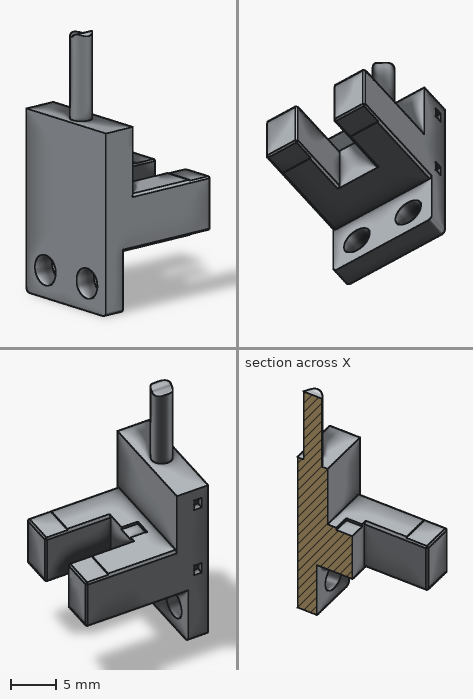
import cadquery as cq

body_width = 13.4
body_height = 21.22
plate_thickness = 2.55
upper_thickness = 4.0
corner_radius = 0.55
half_width = body_width / 2
full_width = (-half_width, half_width)

total_depth = 15.55
arm_width = 4.2
gap_floor_y = 7.25
fork_bottom_z = 7.02
fork_top_z = 13.42
fork_chamfer = 0.295

tip_start_y = 12.6
tip_step = 0.1
tip_chamfer = fork_chamfer - tip_step

hole_diameter = 3.5
hole_spacing = 7.0
hole_z = 3.2

cable_diameter = 2.5
cable_x = 0.25
cable_y = 2.0
total_height = 31.2
break_wave = 0.25

indicator_size = 2.1
indicator_left_x = -2.03
indicator_depth = 0.3

side_recess_depth = 0.8
side_recess_width = 0.97
side_recess_height = 1.35
side_recess_y = 1.3
side_recess_centers_z = (9.83, 19.05)


def box(x_range, y_range, z_range):
    """Axis-aligned block between pairs of limits."""
    limits = (x_range, y_range, z_range)
    sizes = [high - low for low, high in limits]
    corner = [low for low, high in limits]
    return cq.Workplane("XY").box(*sizes, centered=False).translate(tuple(corner))


def make_body():
    plate = box(full_width, (0, plate_thickness), (0, body_height))
    plate = plate.edges("|Y and <Z").fillet(corner_radius)
    fork_middle_z = (fork_bottom_z + fork_top_z) / 2
    upper = box(full_width, (0, upper_thickness), (fork_middle_z, body_height))
    return plate.union(upper)


def make_arm(left_x):
    """One arm, with its long edges and its end chamfered."""
    x_range = (left_x, left_x + arm_width)
    root = box(x_range, (gap_floor_y, tip_start_y), (fork_bottom_z, fork_top_z))
    root = root.edges("|Y").chamfer(fork_chamfer)
    tip_z = (fork_bottom_z + tip_step, fork_top_z - tip_step)
    tip = box(x_range, (tip_start_y, total_depth), tip_z)
    tip = tip.edges("|Y or >Y").chamfer(tip_chamfer)
    return root.union(tip)


def make_fork():
    bridge = box(full_width, (0, gap_floor_y), (fork_bottom_z, fork_top_z))
    bridge = bridge.edges("|Y").chamfer(fork_chamfer)
    fork = bridge.union(make_arm(-half_width))
    return fork.union(make_arm(half_width - arm_width))


def make_mounting_holes():
    return (
        cq.Workplane("XZ", origin=(0, 0, hole_z))
        .rarray(hole_spacing, 0.3, 2, 1)
        .circle(hole_diameter / 2)
        .extrude(-plate_thickness)
    )


def make_cable():
    """Round cable whose end is an S-shaped wave of two arcs across X."""
    radius = cable_diameter / 2
    wave_z = total_height - break_wave
    rod = (
        cq.Workplane("XY", origin=(cable_x, cable_y, body_height))
        .circle(radius)
        .extrude(total_height - body_height)
    )
    wave = (
        cq.Workplane("XZ", origin=(cable_x, cable_y, 0))
        .moveTo(-radius, body_height)
        .lineTo(-radius, wave_z)
        .threePointArc((-radius / 2, wave_z - break_wave), (0, wave_z))
        .threePointArc((radius / 2, total_height), (radius, wave_z))
        .lineTo(radius, body_height)
        .close()
        .extrude(radius, both=True)
    )
    return rod.intersect(wave)


def make_indicator_recess():
    return box(
        (indicator_left_x, indicator_left_x + indicator_size),
        (gap_floor_y - indicator_size, gap_floor_y),
        (fork_top_z - indicator_depth, fork_top_z),
    )


def make_side_recess(center_z):
    return box(
        (-half_width, -half_width + side_recess_depth),
        (side_recess_y - side_recess_width / 2, side_recess_y + side_recess_width / 2),
        (center_z - side_recess_height / 2, center_z + side_recess_height / 2),
    )


result = make_body().union(make_fork()).union(make_cable())
result = result.cut(make_mounting_holes()).cut(make_indicator_recess())
for recess_z in side_recess_centers_z:
    result = result.cut(make_side_recess(recess_z))